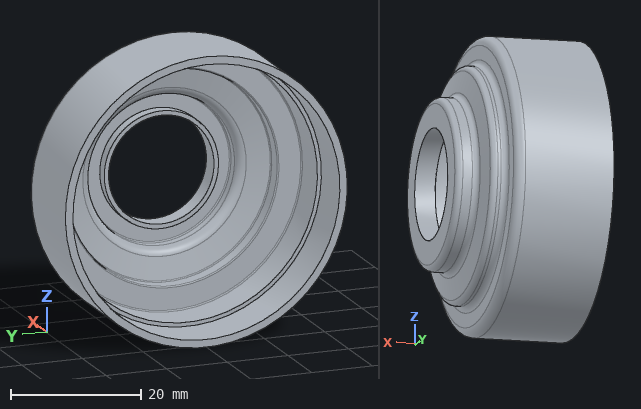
import cadquery as cq
import math

total_length = 22.3
body_radius = 46.5 / 2

body_length = 15.7
step_radius = 18.5
step_length = 18.05
neck_radius = 13.45
cone_lean = math.tan(math.radians(10))
body_edge_round = 1.5
outer_round = 1.0

mouth_radius = 22.0
mouth_depth = 7.8
cavity_radius = 21.35
end_wall = 1.4
cone_wall = 1.25
step_bore_radius = 17.35
neck_bore_radius = 12.15
cone_mouth_round = 1.6
inner_round = 0.2

hole_radius = 8.68
tube_radius = 9.42
tube_start = 19.0

neck_start = step_length + (step_radius - neck_radius) * cone_lean
cone_wall_axial = cone_wall * math.hypot(1, cone_lean)
inner_cone_start = step_length - cone_wall_axial + (step_radius - step_bore_radius) * cone_lean
inner_cone_end = inner_cone_start + (step_bore_radius - neck_bore_radius) * cone_lean
cavity_floor = body_length - end_wall
neck_floor = total_length - end_wall

SHARP = 0

outer_corners = [
    (0, body_radius, SHARP),
    (body_length, body_radius, body_edge_round),
    (body_length, step_radius, outer_round),
    (step_length, step_radius, outer_round),
    (neck_start, neck_radius, outer_round),
    (total_length, neck_radius, outer_round),
]
inner_corners = [
    (total_length, hole_radius, SHARP),
    (tube_start, hole_radius, SHARP),
    (tube_start, tube_radius, SHARP),
    (neck_floor, tube_radius, SHARP),
    (neck_floor, neck_bore_radius, inner_round),
    (inner_cone_end, neck_bore_radius, cone_mouth_round),
    (inner_cone_start, step_bore_radius, inner_round),
    (cavity_floor, step_bore_radius, inner_round),
    (cavity_floor, cavity_radius, inner_round),
    (mouth_depth, cavity_radius, SHARP),
    (mouth_depth, mouth_radius, SHARP),
    (0, mouth_radius, SHARP),
]


def corner_arc(before, corner, after, rounding):
    """Start, middle and end of the arc that is tangent to both sides of a corner."""
    corner = cq.Vector(*corner)
    to_before = (cq.Vector(*before) - corner).normalized()
    to_after = (cq.Vector(*after) - corner).normalized()
    half_angle = to_before.getAngle(to_after) / 2
    tangent_length = rounding / math.tan(half_angle)
    middle_distance = rounding / math.sin(half_angle) - rounding
    start = corner + to_before * tangent_length
    middle = corner + (to_before + to_after).normalized() * middle_distance
    end = corner + to_after * tangent_length
    return [point.toTuple()[:2] for point in (start, middle, end)]


def rounded_outline(corners):
    """Closed outline through the corners, whose first corner is sharp."""
    outline = cq.Workplane("XZ").moveTo(*corners[0][:2])
    for index in range(1, len(corners)):
        before = corners[index - 1][:2]
        corner = corners[index][:2]
        after = corners[(index + 1) % len(corners)][:2]
        rounding = corners[index][2]
        if rounding == SHARP:
            outline = outline.lineTo(*corner)
        else:
            start, middle, end = corner_arc(before, corner, after, rounding)
            outline = outline.lineTo(*start).threePointArc(middle, end)
    return outline.close()


section = rounded_outline(outer_corners + inner_corners)
result = section.revolve(360, (0, 0, 0), (1, 0, 0))